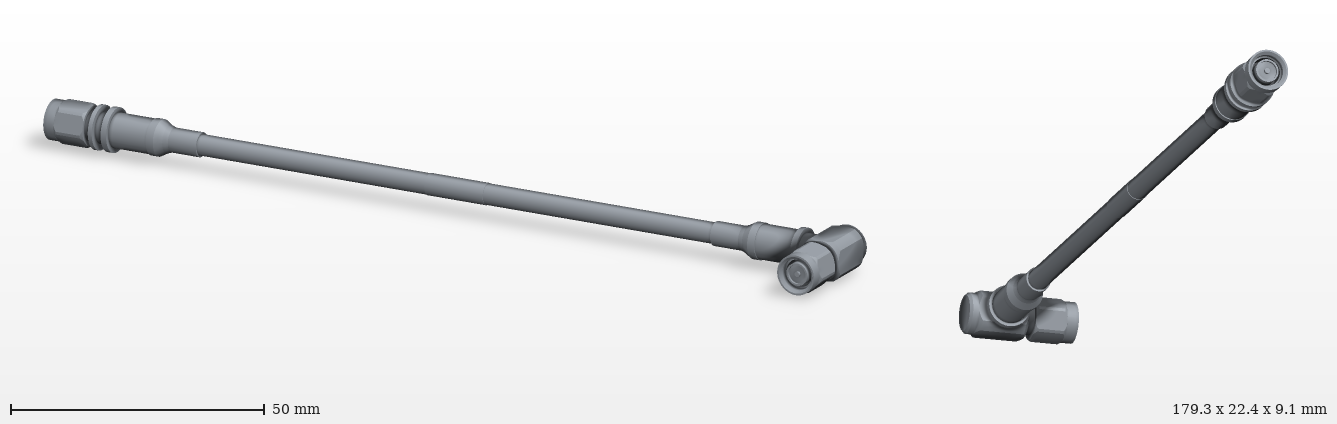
import cadquery as cq
import math

total_length = 179.3
total_depth = 22.4

nut_length = 8.8
rim_length = 2.3
rim_radius = 4.1
rim_mouth_radius = 3.8
nut_corner_radius = 4.7
nut_turned_radius = 9.0 / 2
nut_corner_turn = 15.0
nut_bevel_length = 0.5
nut_bevel_drop = 0.4
bore_radius = 3.2
bore_depth = 4.5
bore_step_radius = 2.9
bore_step_depth = 1.5
shell_outer_radius = 2.3
shell_inner_radius = 2.0
shell_setback = 0.5
insulator_setback = 1.0
pin_radius = 0.5
pin_setback = 0.5

ferrule_radius = 3.5
neck_radius = 3.2
flange_radius = 9.1 / 2
front_flange_start = 9.9
front_flange_bevel = 0.4
front_flange_end = 11.1
rear_flange_start = 13.0
rear_flange_end = 14.3

boot_start = 22.8
boot_shoulder = 24.4
boot_taper_middle = 26.0
boot_taper_end = 27.0
boot_end = 33.3
boot_wide_radius = 3.8
boot_middle_radius = 2.9
boot_narrow_radius = 2.5

cable_radius = 2.2
band_radius = 4.5 / 2
band_start = 84.5
band_length = 13.0

nut_flat_distance = nut_corner_radius * math.cos(math.pi / 6)
corner_half_angle = math.pi / 6 - math.acos(nut_flat_distance / nut_turned_radius)
plug_half_width = nut_turned_radius * math.cos(math.radians(nut_corner_turn) - corner_half_angle)
elbow_x = total_length - plug_half_width
cap_end_y = 7.0
elbow_front_y = cap_end_y - total_depth
block_front_y = -5.2
block_rear_y = 5.2
block_width = 8.2
block_corner_radius = 4.8
block_bevel = 0.7
cap_radius = block_width / 2
cap_bevel = 0.5
collar_start = 6.1
collar_end = 7.4
collar_radius = 8.5 / 2
boot_offset = 7.2


def turned(points):
    """Solid of revolution about X through (x, radius) points."""
    first_x, last_x = points[0][0], points[-1][0]
    outline = [(first_x, 0), *points, (last_x, 0)]
    return cq.Workplane("XY").polyline(outline).close().revolve(360, (0, 0), (1, 0))


def rod(start, end, radius):
    """Plain cylinder along X."""
    return cq.Workplane("YZ", origin=(start, 0, 0)).circle(radius).extrude(end - start)


def turn_to_y(body):
    """Swing a body from the X axis to the Y axis."""
    return body.rotate((0, 0, 0), (0, 0, 1), 90)


def face_elbow(body):
    """Mirror a body so that x becomes the distance from the elbow's plug axis."""
    return body.mirror("YZ").translate((elbow_x, 0, 0))


def bevelled_hexagon():
    hexagon = (
        cq.Workplane("YZ", origin=(rim_length, 0, 0))
        .polygon(6, 2 * nut_corner_radius)
        .extrude(nut_length - rim_length)
        .rotate((0, 0, 0), (1, 0, 0), nut_corner_turn)
    )
    end_radius = nut_turned_radius - nut_bevel_drop
    envelope = turned([
        (rim_length, end_radius),
        (rim_length + nut_bevel_length, nut_turned_radius),
        (nut_length - nut_bevel_length, nut_turned_radius),
        (nut_length, end_radius),
    ])
    return hexagon.intersect(envelope)


def plug_head():
    """Coupling nut along X, open at x = 0, with contact shell, insulator and pin inside."""
    nut = bevelled_hexagon().union(rod(0, rim_length, rim_radius))
    socket = turned([
        (0, rim_mouth_radius),
        (rim_mouth_radius - bore_radius, bore_radius),
        (bore_step_depth, bore_radius),
        (bore_step_depth, bore_step_radius),
        (bore_depth, bore_step_radius),
    ])
    shell = rod(shell_setback, bore_depth, shell_outer_radius)
    shell = shell.cut(rod(shell_setback, insulator_setback, shell_inner_radius))
    pin = rod(pin_setback, bore_depth, pin_radius)
    return nut.cut(socket).union(shell).union(pin)


def straight_connector():
    barrel = turned([
        (nut_length, neck_radius),
        (front_flange_start, neck_radius),
        (front_flange_start + front_flange_bevel, flange_radius),
        (front_flange_end, flange_radius),
        (front_flange_end, neck_radius),
        (rear_flange_start, neck_radius),
        (rear_flange_start, flange_radius),
        (rear_flange_end, flange_radius),
        (rear_flange_end, ferrule_radius),
        (boot_shoulder, ferrule_radius),
    ])
    return plug_head().union(barrel)


def elbow_block():
    """Square block along Y with turned corners, bevelled ends and a round rear cap."""
    square = (
        cq.Workplane("XZ", origin=(0, block_rear_y, 0))
        .rect(block_width, block_width)
        .extrude(block_rear_y - block_front_y)
    )
    end_radius = block_corner_radius - block_bevel
    envelope = turned([
        (block_front_y, end_radius),
        (block_front_y + block_bevel, block_corner_radius),
        (block_rear_y - block_bevel, block_corner_radius),
        (block_rear_y, end_radius),
    ])
    cap = turned([
        (block_rear_y, cap_radius),
        (cap_end_y - cap_bevel, cap_radius),
        (cap_end_y, cap_radius - cap_bevel),
    ])
    return square.intersect(turn_to_y(envelope)).union(turn_to_y(cap))


def elbow_connector():
    head = turn_to_y(plug_head()).translate((0, elbow_front_y, 0))
    neck = turn_to_y(rod(elbow_front_y + nut_length, block_front_y, neck_radius))
    head_and_block = elbow_block().union(neck).union(head).translate((elbow_x, 0, 0))
    barrel = turned([
        (0, neck_radius),
        (collar_start, neck_radius),
        (collar_start, collar_radius),
        (collar_end, collar_radius),
        (collar_end, ferrule_radius),
        (boot_shoulder - boot_offset, ferrule_radius),
    ])
    return head_and_block.union(face_elbow(barrel))


def boot():
    """Sleeve that covers the end of a ferrule and narrows onto the cable."""
    sleeve = turned([
        (boot_start, boot_wide_radius),
        (boot_shoulder, boot_wide_radius),
        (boot_taper_middle, boot_middle_radius),
        (boot_taper_end, boot_narrow_radius),
        (boot_end, boot_narrow_radius),
    ])
    ferrule_room = rod(boot_start, boot_shoulder, ferrule_radius)
    cable_room = rod(boot_shoulder, boot_end, cable_radius)
    return sleeve.cut(ferrule_room).cut(cable_room)


def cable():
    """Cable from ferrule end to ferrule end, with the marker band as a raised step."""
    elbow_ferrule_end = elbow_x - (boot_shoulder - boot_offset)
    core = rod(boot_shoulder, elbow_ferrule_end, cable_radius)
    return core.union(rod(band_start, band_start + band_length, band_radius))


straight_plug = straight_connector()
elbow_plug = elbow_connector()
cable_core = cable()

boots = []
for at_elbow in (False, True):
    sleeve_body = boot()
    if at_elbow:
        sleeve_body = face_elbow(sleeve_body.translate((-boot_offset, 0, 0)))
    boots.append(sleeve_body.val())

result = cq.Compound.makeCompound([
    straight_plug.val(),
    elbow_plug.val(),
    cable_core.val(),
    *boots,
])